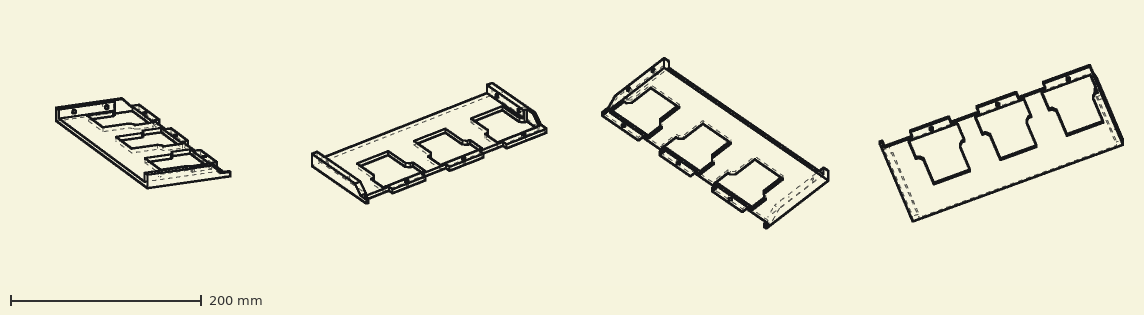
import cadquery as cq

LENGTH = 237
DEPTH = 95
HEIGHT = 15
PLATE_THICKNESS = 5

WALL_THICKNESS = 7
WALL_REAR_TOP = 75
WALL_REAR_FOOT = WALL_REAR_TOP + (HEIGHT - PLATE_THICKNESS)

WINDOW_PITCH = 75
WINDOW_COUNT = 3
WINDOW_FIRST_CENTRE = 30.5
WIDE_WIDTH = 55
NARROW_WIDTH = 41
WINDOW_FRONT = 31
WINDOW_REAR = 86
SHOULDER_Y = 64.5
SHOULDER_FLAT = 3.25
SHOULDER_DROP = 3.75

NOTCH_SPANS = [(52.5, 83), (127.5, 159), (202.5, 234)]
NOTCH_DEPTH = 6.5

TAB_HOLE_X = [26.35, WINDOW_FIRST_CENTRE + WINDOW_PITCH, WINDOW_FIRST_CENTRE + 2 * WINDOW_PITCH]
TAB_HOLE_FROM_REAR = 4.9
TAB_HOLE_DIAMETER = 3.7

WALL_HOLE_Y = [17.5, 55]
WALL_HOLE_Z = 10
WALL_HOLE_DIAMETER = 3.9
RIGHT_HOLE_DEPTH = 0.2


def make_plate():
    return cq.Workplane("XY").box(LENGTH, DEPTH, PLATE_THICKNESS, centered=False)


def make_wall(left):
    profile = [
        (0, 0),
        (WALL_REAR_FOOT, 0),
        (WALL_REAR_FOOT, PLATE_THICKNESS),
        (WALL_REAR_TOP, HEIGHT),
        (0, HEIGHT),
    ]
    return (
        cq.Workplane("YZ", origin=(left, 0, 0))
        .polyline(profile)
        .close()
        .extrude(WALL_THICKNESS)
    )


def make_window(centre):
    wide = WIDE_WIDTH / 2
    narrow = NARROW_WIDTH / 2
    right_side = [
        (narrow, WINDOW_FRONT),
        (narrow, SHOULDER_Y - SHOULDER_DROP),
        (wide - SHOULDER_FLAT, SHOULDER_Y),
        (wide, SHOULDER_Y),
        (wide, WINDOW_REAR),
    ]
    left_side = [(-x, y) for x, y in reversed(right_side)]
    return (
        cq.Workplane("XY", origin=(centre, 0, 0))
        .polyline(right_side + left_side)
        .close()
        .extrude(HEIGHT)
    )


def make_notch(left, right):
    origin = (left, DEPTH - NOTCH_DEPTH, 0)
    return cq.Workplane("XY", origin=origin).box(
        right - left, NOTCH_DEPTH, PLATE_THICKNESS, centered=False
    )


def make_tab_holes():
    centres = [(x, DEPTH - TAB_HOLE_FROM_REAR) for x in TAB_HOLE_X]
    return cq.Workplane("XY").pushPoints(centres).circle(TAB_HOLE_DIAMETER / 2).extrude(PLATE_THICKNESS)


def make_wall_holes(left, depth):
    centres = [(y, WALL_HOLE_Z) for y in WALL_HOLE_Y]
    return (
        cq.Workplane("YZ", origin=(left, 0, 0))
        .pushPoints(centres)
        .circle(WALL_HOLE_DIAMETER / 2)
        .extrude(depth)
    )


result = make_plate()
right_wall_left = LENGTH - WALL_THICKNESS
result = result.union(make_wall(0)).union(make_wall(right_wall_left))
result = result.cut(make_wall_holes(0, WALL_THICKNESS))
result = result.cut(make_wall_holes(right_wall_left, RIGHT_HOLE_DEPTH))
for index in range(WINDOW_COUNT):
    result = result.cut(make_window(WINDOW_FIRST_CENTRE + index * WINDOW_PITCH))
for notch_left, notch_right in NOTCH_SPANS:
    result = result.cut(make_notch(notch_left, notch_right))
result = result.cut(make_tab_holes())